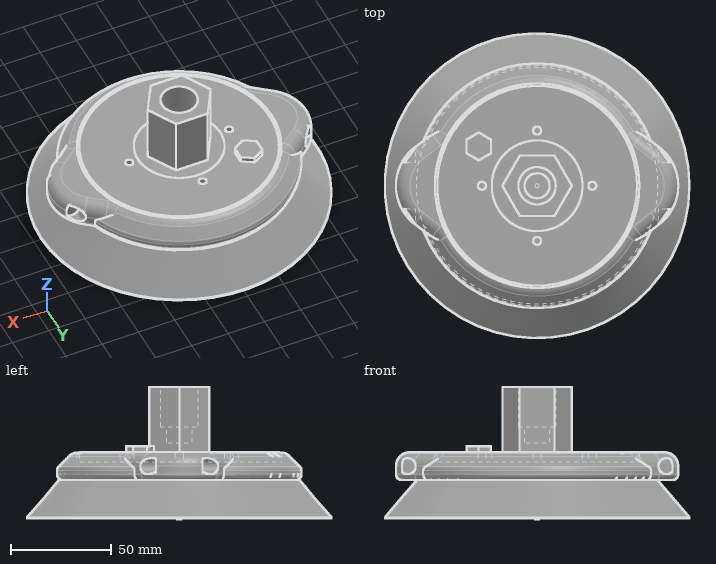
import cadquery as cq
import math

edge_tolerance = 0.1

rim_thickness = 0.6
cone_top_z = 19.1
flange_thickness = 14.0
top_z = cone_top_z + flange_thickness

rim_radius = 76.0
cone_top_radius = 60.0
nub_diameter = 2.0
nub_height = 0.5

flange_radius = 61.0
flange_slope_depth = 8.0
flange_top_rounding = 7.0
flange_shoulder_rounding = 2.5
bottom_rounding = 3.0
bottom_arc_angle = 70.0

lobe_reach = 70.4
lobe_radius = 24.0
side_angle = math.radians(52.4)
lobe_top_rounding = 7.0
lobe_blend_radius = 20.0
lobe_root_radius = 56.8
lobe_center = lobe_reach - lobe_radius
side_normal_x = math.cos(side_angle)
side_normal_y = math.sin(side_angle)
lobe_side_distance = lobe_radius + lobe_center * side_normal_x

lobe_hole_diameter = 8.0
lobe_hole_x = 64.5
lobe_hole_z = top_z - lobe_top_rounding
lobe_hole_bottom_y = 11.5

plate_radius = 49.8
plate_gap = 1.2
plate_thickness = 5.0
plate_bottom_z = top_z - plate_thickness
small_hole_diameter = 4.0
small_hole_circle_radius = 27.5
bolt_head_across_flats = 12.0
bolt_head_height = 3.0
bolt_head_x = -29.1
bolt_head_y = 19.6

connector_foot_diameter = 45.3
connector_across_flats = 30.0
connector_height = 32.5
thread_bore_diameter = 18.63
thread_bore_depth = 20.0
drill_diameter = 12.5
drill_depth = 28.0


def hexagon_corners_diameter(across_flats):
    return across_flats / math.cos(math.radians(30))


def make_nub():
    return (
        cq.Workplane("XY")
        .workplane(offset=-nub_height)
        .circle(nub_diameter / 2)
        .extrude(nub_height + rim_thickness)
    )


def make_round_body():
    """Sealing cone and round flange, revolved from one half section."""
    arc_center_radius = flange_radius - bottom_rounding
    arc_center_z = cone_top_z + bottom_rounding

    def bottom_arc_point(angle_degrees):
        angle = math.radians(angle_degrees)
        return (
            arc_center_radius + bottom_rounding * math.cos(angle),
            arc_center_z - bottom_rounding * math.sin(angle),
        )

    arc_end_radius, shelf_z = bottom_arc_point(bottom_arc_angle)
    shoulder_z = top_z - flange_slope_depth
    body = (
        cq.Workplane("XZ")
        .moveTo(0, 0)
        .lineTo(rim_radius, 0)
        .lineTo(rim_radius, rim_thickness)
        .lineTo(cone_top_radius, shelf_z)
        .lineTo(arc_end_radius, shelf_z)
        .threePointArc(bottom_arc_point(bottom_arc_angle / 2), bottom_arc_point(0))
        .lineTo(flange_radius, shoulder_z)
        .lineTo(flange_radius - flange_slope_depth, top_z)
        .lineTo(0, top_z)
        .close()
        .revolve(360, (0, 0, 0), (0, 1, 0))
    )
    body = body.faces(">Z").edges().fillet(flange_top_rounding)
    shoulder = cq.selectors.BoxSelector(
        (-1, -1, shoulder_z - edge_tolerance),
        (1, 1, shoulder_z + edge_tolerance),
    )
    return body.edges("%CIRCLE").edges(shoulder).fillet(flange_shoulder_rounding)


def make_lobe():
    """Lobe pointing to +X: a round tip, straight sides and concave arcs running into the flange."""
    tip_end_x = lobe_center + lobe_radius * side_normal_x
    tip_end_y = lobe_radius * side_normal_y

    blend_center_distance = lobe_root_radius + lobe_blend_radius
    blend_turn = math.acos((lobe_side_distance + lobe_blend_radius) / blend_center_distance)
    root_angle = side_angle - blend_turn
    blend_center_x = blend_center_distance * math.cos(root_angle)
    blend_center_y = blend_center_distance * math.sin(root_angle)

    def blend_point(direction):
        return (
            blend_center_x - lobe_blend_radius * math.cos(direction),
            blend_center_y - lobe_blend_radius * math.sin(direction),
        )

    side_end_x, side_end_y = blend_point(side_angle)
    blend_middle_x, blend_middle_y = blend_point(side_angle - blend_turn / 2)
    root_x, root_y = blend_point(root_angle)
    lobe = (
        cq.Workplane("XY")
        .workplane(offset=cone_top_z)
        .moveTo(root_x, -root_y)
        .threePointArc((blend_middle_x, -blend_middle_y), (side_end_x, -side_end_y))
        .lineTo(tip_end_x, -tip_end_y)
        .threePointArc((lobe_reach, 0), (tip_end_x, tip_end_y))
        .lineTo(side_end_x, side_end_y)
        .threePointArc((blend_middle_x, blend_middle_y), (root_x, root_y))
        .lineTo(0, 0)
        .close()
        .extrude(flange_thickness)
    )
    outline = cq.selectors.BoxSelector(
        (root_x - bottom_rounding, -flange_radius, 0),
        (lobe_reach, flange_radius, top_z + edge_tolerance),
    )
    lobe = lobe.faces(">Z").edges(outline).fillet(lobe_top_rounding)
    return lobe.faces("<Z").edges(outline).fillet(bottom_rounding)


def make_lobe_hole():
    return (
        cq.Workplane("XZ", origin=(lobe_hole_x, -lobe_hole_bottom_y, lobe_hole_z))
        .circle(lobe_hole_diameter / 2)
        .extrude(lobe_radius)
    )


def make_cup():
    recess = (
        cq.Workplane("XY")
        .workplane(offset=plate_bottom_z)
        .circle(plate_radius + plate_gap)
        .extrude(plate_thickness)
    )
    lobe = make_lobe()
    opposite_lobe = lobe.rotate((0, 0, 0), (0, 0, 1), 180)
    cup = make_round_body().union(lobe).union(opposite_lobe).union(make_nub()).cut(recess)
    for hole in (make_lobe_hole(), make_lobe_hole().mirror("XZ")):
        cup = cup.cut(hole).cut(hole.mirror("YZ"))
    return cup


def make_plate():
    plate = (
        cq.Workplane("XY")
        .workplane(offset=plate_bottom_z)
        .circle(plate_radius)
        .circle(connector_foot_diameter / 2)
        .extrude(plate_thickness)
    )
    small_holes = (
        cq.Workplane("XY")
        .workplane(offset=plate_bottom_z)
        .polarArray(small_hole_circle_radius, 0, 360, 4)
        .circle(small_hole_diameter / 2)
        .extrude(plate_thickness)
    )
    bolt_head = (
        cq.Workplane("XY")
        .workplane(offset=top_z)
        .polygon(6, hexagon_corners_diameter(bolt_head_across_flats))
        .extrude(bolt_head_height)
        .rotate((0, 0, 0), (0, 0, 1), 30)
        .translate((bolt_head_x, bolt_head_y, 0))
    )
    return plate.cut(small_holes).union(bolt_head)


def make_connector():
    foot = (
        cq.Workplane("XY")
        .workplane(offset=plate_bottom_z)
        .circle(connector_foot_diameter / 2)
        .extrude(plate_thickness)
    )
    hexagon = (
        cq.Workplane("XY")
        .workplane(offset=top_z)
        .polygon(6, hexagon_corners_diameter(connector_across_flats))
        .extrude(connector_height)
    )
    connector = foot.union(hexagon)
    for diameter, depth in ((thread_bore_diameter, thread_bore_depth), (drill_diameter, drill_depth)):
        connector = connector.cut(
            cq.Workplane("XY")
            .workplane(offset=top_z + connector_height)
            .circle(diameter / 2)
            .extrude(-depth)
        )
    return connector


cup = make_cup()
plate = make_plate()
connector = make_connector()

result = cq.Compound.makeCompound([cup.val(), plate.val(), connector.val()])